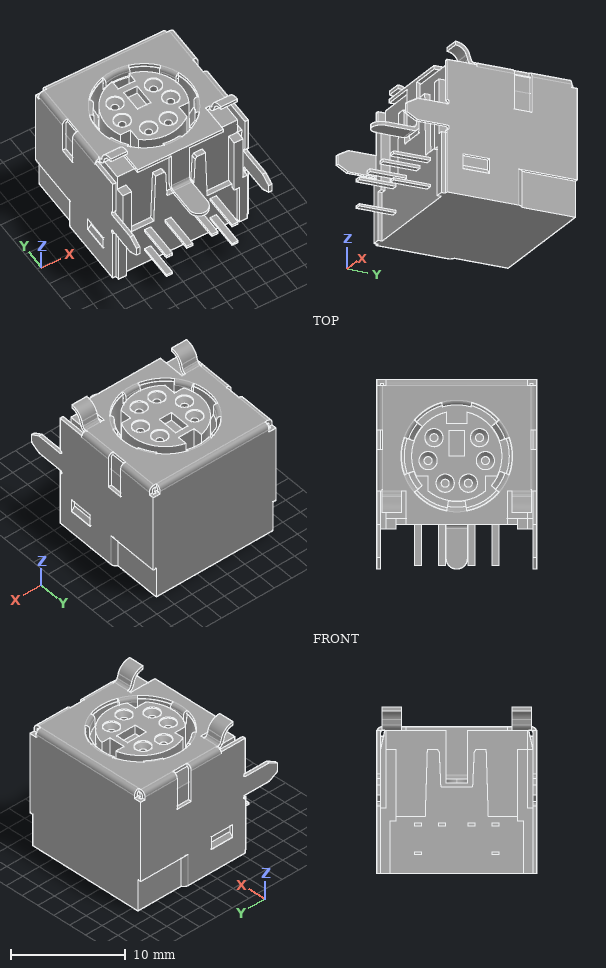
import cadquery as cq
import math


shell_width = 13.98
shell_depth = 12.67
shell_height = 12.83
sheet = 0.35
bend_outer = 0.53
bend_inner = bend_outer - sheet
half_width = shell_width / 2
inner_half_width = half_width - sheet
inner_depth = shell_depth - sheet
inner_height = shell_height - sheet
tip_reach = 3.89
overlap = 0.17

corner_opening_x = 4.42
corner_opening_depth = 2.91
hook_inner_x = 4.82
hook_width = 1.7
hook_center_y = 1.05
hook_center_z = 13.08
hook_radius = 1.45
hook_lean = math.radians(18)

tab_bottom = 6.3
tab_top = 8.31
tab_taper_length = 1.01
tab_taper_height = 0.56
relief_radius = 0.2

clip_window_y = (6.55, 8.25)
clip_window_bottom = 8.98
clip_window_inner_x = 6.46
snap_window_y = (1.55, 4.1)
snap_window_z = (2.48, 3.86)
snap_ramp_top = 2.93
snap_ramp_depth = 0.31
rear_corner_x = 6.2
rear_corner_bottom = 12.0
rear_step_y = 6.94
rear_step_top = 3.4

tongue_width = 1.89
tongue_top = 8.26
tongue_bend_inner = 0.33
tongue_tip_flat = 0.002
tongue_bend_outer = tongue_bend_inner + sheet

housing_face_y = 0.51
shoulder_top = 10.85
slope_top_x = 6.3
block_top = 5.0
column_foot_x = 2.75
column_top_x = 2.57
notch_top_x = 1.69
notch_neck_x = 1.52
notch_side_x = 1.39
notch_floor_x = 1.32
notch_floor = 7.53
notch_floor_bevel = 0.08
notch_top_bevel = 0.26
rib_front_y = -0.4
rib_inner_x = 5.28
rib_foot_x = 5.81
rib_foot_top = 4.57
side_groove_x = 6.2
side_groove_bottom = 5.73
side_groove_depth = 3.31
guide_lean = 0.17

socket_y = 5.98
mouth_radius = 4.87
housing_mouth_radius = 4.84
floor_radius = 4.59
core_radius = 3.94
socket_depth = 7.04
socket_floor = shell_height - socket_depth
key_width = 1.75
key_bottom_y = 8.83
flat_x = 2.5
flat_y = 4.22
post_width = 1.39
post_length = 2.24
post_center_y = 7.09
post_depth = 0.93
contact_places = [(1.99, 7.58), (2.5, 5.58), (1.01, 3.61)]
contact_mouth_radius = 0.8
contact_mouth_depth = 0.13
contact_hole_radius = 0.35
contact_cone_depth = 0.58
contact_hole_depth = 4.97

leaf_radius = 4.47
leaf_kink_z = 11.6
leaf_tip_radius = 3.97
leaf_tip_z = 10.6
side_leaf_angles = (30, 150, 210, 270, 330)
side_leaf_span = 21
rear_leaf_angle = 90
rear_leaf_span = 32
rear_leaf_kink_z = 11.89
rear_leaf_tip_radius = 4.87
rear_leaf_tip_z = 11.18

pin_width = 0.63
pin_tip_y = -3.58
upper_pin_z = 4.29
upper_pin_thickness = 0.26
upper_pin_x = (1.29, 3.38)
lower_pin_z = 1.79
lower_pin_thickness = 0.22
lower_pin_x = (3.38,)


def block(x_range, y_range, z_range):
    """Box between the given limits on each axis."""
    size = [end - start for start, end in (x_range, y_range, z_range)]
    corner = (x_range[0], y_range[0], z_range[0])
    return cq.Workplane("XY").box(*size, centered=False).translate(corner)


def both_sides(solid):
    """The solid together with its mirror image across X = 0."""
    return solid.union(solid.mirror("YZ"))


def extrude_along_x(outline, x_range):
    """Extrude a (Y, Z) outline from one X to another."""
    return outline.extrude(x_range[1] - x_range[0]).translate((x_range[0], 0, 0))


def folded_box(half_x, back_y, top_z, radius):
    """Box from Y = 0 back, with its top edges rounded along both sides and the rear."""
    box = block((-half_x, half_x), (0, back_y), (0, top_z))
    return box.faces(">Z").edges("|Y or >Y").fillet(radius)


def make_shell():
    shell = folded_box(half_width, shell_depth, shell_height, bend_outer)
    shell = shell.cut(folded_box(inner_half_width, inner_depth, inner_height, bend_inner))

    outside = half_width + overlap
    above = shell_height + overlap
    behind = shell_depth + overlap
    opening_y = (0, corner_opening_depth)
    bend_bottom = shell_height - bend_outer
    front_opening = block((corner_opening_x, outside), opening_y, (bend_bottom, above))
    straight_wall = block((inner_half_width, half_width), opening_y, (bend_bottom, inner_height))
    rear_corner = block(
        (rear_corner_x, outside), (inner_depth - bend_inner, behind), (rear_corner_bottom, above)
    )
    clip_window = block((clip_window_inner_x, outside), clip_window_y, (clip_window_bottom, above))
    snap_window = block((inner_half_width, outside), snap_window_y, snap_window_z)
    cuts = front_opening.union(rear_corner).union(clip_window).union(snap_window)
    shell = shell.cut(both_sides(cuts)).union(both_sides(straight_wall))
    return shell.cut(both_sides(rear_step())).cut(both_sides(tab_reliefs()))


def rear_step():
    """Low rear part of the side wall, bent inward out of the outer face."""
    bend_center_x = half_width - bend_outer
    bend_end_y = rear_step_y + math.sqrt(bend_outer**2 - bend_inner**2)
    mid_angle = (math.pi / 2 + math.asin(bend_inner / bend_outer)) / 2
    mid_x = bend_center_x + bend_outer * math.sin(mid_angle)
    mid_y = rear_step_y + bend_outer * math.cos(mid_angle)
    return (
        cq.Workplane("XY")
        .moveTo(half_width, rear_step_y)
        .threePointArc((mid_x, mid_y), (inner_half_width, bend_end_y))
        .lineTo(inner_half_width, shell_depth)
        .lineTo(half_width, shell_depth)
        .close()
        .extrude(rear_step_top)
    )


def make_hook():
    """Arm that rises from the top plate and curls forward."""
    inner_radius = hook_radius - sheet
    along_y = math.cos(hook_lean)
    along_z = math.sin(hook_lean)
    start_offset = (corner_opening_depth - hook_center_y) * along_y
    rise_offset = (inner_height - hook_center_z) * along_z
    low_outer = (start_offset + rise_offset - inner_radius) / (1 - along_z)
    low_inner = low_outer - sheet
    low_y = corner_opening_depth
    low_z = inner_height + low_outer

    def curl(radius, angle):
        return (hook_center_y + radius * math.cos(angle), hook_center_z + radius * math.sin(angle))

    def low_bend(radius, angle):
        return (low_y - radius * math.cos(angle), low_z - radius * math.sin(angle))

    upright = math.pi / 2
    middle = (hook_lean + upright) / 2
    outline = (
        cq.Workplane("YZ")
        .moveTo(low_y + overlap, shell_height)
        .lineTo(*low_bend(low_inner, upright))
        .threePointArc(low_bend(low_inner, middle), low_bend(low_inner, hook_lean))
        .lineTo(*curl(hook_radius, hook_lean))
        .threePointArc(curl(hook_radius, middle), curl(hook_radius, upright))
        .lineTo(*curl(inner_radius, upright))
        .threePointArc(curl(inner_radius, middle), curl(inner_radius, hook_lean))
        .lineTo(*low_bend(low_outer, hook_lean))
        .threePointArc(low_bend(low_outer, middle), low_bend(low_outer, upright))
        .lineTo(low_y + overlap, inner_height)
        .close()
    )
    return extrude_along_x(outline, (hook_inner_x, hook_inner_x + hook_width))


def make_mounting_tab():
    taper_start = tab_taper_length - tip_reach
    outline = cq.Workplane("YZ").polyline([
        (overlap, tab_bottom),
        (taper_start, tab_bottom),
        (-tip_reach, tab_bottom + tab_taper_height),
        (-tip_reach, tab_top - tab_taper_height),
        (taper_start, tab_top),
        (overlap, tab_top),
    ]).close()
    return extrude_along_x(outline, (inner_half_width, half_width))


def tab_reliefs():
    """Half-round notches in the wall edge above and below the mounting tab."""
    centers = [(0, tab_bottom - relief_radius), (0, tab_top + relief_radius)]
    outline = cq.Workplane("YZ").pushPoints(centers).circle(relief_radius)
    return extrude_along_x(outline, (inner_half_width, half_width))


def make_tongue():
    """Strip folded down from the top plate, then forward to a round tip."""
    half = tongue_width / 2
    bottom = tongue_top - sheet
    strip = (
        cq.Workplane("YZ")
        .moveTo(0, shell_height)
        .lineTo(0, tongue_top + tongue_bend_inner)
        .radiusArc((-tongue_bend_inner, tongue_top), tongue_bend_inner)
        .lineTo(-tip_reach, tongue_top)
        .lineTo(-tip_reach, bottom)
        .lineTo(-tongue_bend_inner, bottom)
        .radiusArc((sheet, bottom + tongue_bend_outer), -tongue_bend_outer)
        .lineTo(sheet, shell_height)
        .close()
    )
    strip = extrude_along_x(strip, (-half, half))
    return strip.edges("<Y and |Z").fillet((tongue_width - tongue_tip_flat) / 2)


def make_housing():
    body = (
        cq.Workplane("XZ")
        .polyline([
            (-inner_half_width, 0),
            (inner_half_width, 0),
            (inner_half_width, shoulder_top),
            (slope_top_x, inner_height),
            (-slope_top_x, inner_height),
            (-inner_half_width, shoulder_top),
        ])
        .close()
        .extrude(housing_face_y - inner_depth)
        .translate((0, housing_face_y, 0))
    )
    body = body.cut(block(
        (-half_width, half_width),
        (inner_depth - bend_inner, inner_depth),
        (rear_corner_bottom, shell_height),
    ))
    body = body.union(front_column()).union(both_sides(make_rib()))
    groove = block(
        (side_groove_x, inner_half_width),
        (rib_front_y, side_groove_depth),
        (side_groove_bottom, shell_height),
    )
    return body.cut(both_sides(groove)).union(guide_pillar()).union(both_sides(snap_ramp()))


def front_column():
    """Raised front: a low block and a tapered column notched for the tongue."""
    right_edge = [
        (rib_foot_x, 0),
        (rib_foot_x, rib_foot_top),
        (rib_inner_x, rib_foot_top),
        (rib_inner_x, block_top),
        (column_foot_x, block_top),
        (column_top_x, shoulder_top),
        (notch_top_x, shoulder_top),
        (notch_neck_x, shoulder_top - notch_top_bevel),
        (notch_side_x, notch_floor + notch_floor_bevel),
        (notch_floor_x, notch_floor),
    ]
    left_edge = [(-x, z) for x, z in reversed(right_edge)]
    outline = cq.Workplane("XZ").polyline(right_edge + left_edge).close()
    return outline.extrude(-housing_face_y)


def make_rib():
    y_range = (rib_front_y, housing_face_y)
    rib = block((rib_inner_x, inner_half_width), y_range, (rib_foot_top, shoulder_top))
    return rib.union(block((rib_foot_x, inner_half_width), y_range, (0, rib_foot_top)))


def guide_pillar():
    """Pillar filling the right-hand groove, its front leaning back toward the bottom."""
    outline = cq.Workplane("YZ").polyline([
        (housing_face_y, shoulder_top),
        (side_groove_depth, shoulder_top),
        (side_groove_depth, side_groove_bottom),
        (housing_face_y + guide_lean, side_groove_bottom),
    ]).close()
    return extrude_along_x(outline, (side_groove_x, inner_half_width))


def snap_ramp():
    """Wedge on the housing side that catches the lower edge of the snap window."""
    bottom = snap_window_z[0]
    outline = cq.Workplane("XZ").polyline([
        (inner_half_width, bottom),
        (inner_half_width + snap_ramp_depth, bottom),
        (inner_half_width, snap_ramp_top),
    ]).close()
    ramp = outline.extrude(snap_window_y[0] - snap_window_y[1])
    return ramp.translate((0, snap_window_y[0], 0))


def socket_cavity():
    """Ring-shaped cavity around the core, with the core's key cut-outs."""
    cavity = (
        cq.Workplane("XY", origin=(0, socket_y, socket_floor))
        .circle(floor_radius)
        .workplane(offset=inner_height - socket_floor)
        .circle(housing_mouth_radius)
        .loft()
    )
    rim = cq.Workplane("XY", origin=(0, socket_y, inner_height)).circle(mouth_radius).extrude(sheet)
    core = cq.Workplane("XY", origin=(0, socket_y, socket_floor)).circle(core_radius)
    core = core.extrude(socket_depth)
    z_range = (socket_floor, shell_height)
    back = socket_y + core_radius
    front = socket_y - core_radius
    core = core.cut(block((-key_width / 2, key_width / 2), (key_bottom_y, back), z_range))
    core = core.cut(both_sides(block((flat_x, core_radius), (front, flat_y), z_range)))
    return cavity.union(rim).cut(core)


def post_pocket():
    """Rectangular pocket in the middle of the core."""
    return block(
        (-post_width / 2, post_width / 2),
        (post_center_y - post_length / 2, post_center_y + post_length / 2),
        (shell_height - post_depth, shell_height),
    )


def contact_hole(x, y):
    """Short round mouth, a funnel, and the contact bore below it."""
    return (
        cq.Workplane("XZ")
        .polyline([
            (0, 0),
            (contact_mouth_radius, 0),
            (contact_mouth_radius, -contact_mouth_depth),
            (contact_hole_radius, -contact_cone_depth),
            (contact_hole_radius, -contact_hole_depth),
            (0, -contact_hole_depth),
        ])
        .close()
        .revolve(360, (0, 0), (0, 1))
        .translate((x, y, shell_height))
    )


def make_leaf(kink_z, tip_radius, tip_z, angle, span):
    """Leaf bent down from the socket rim, straight to the kink, then slanting to its tip."""
    bend = mouth_radius - leaf_radius
    root = mouth_radius + overlap
    profile = (
        cq.Workplane("XZ")
        .moveTo(root, shell_height)
        .lineTo(mouth_radius, shell_height)
        .radiusArc((leaf_radius, shell_height - bend), -bend)
        .lineTo(leaf_radius, kink_z)
        .lineTo(tip_radius, tip_z)
        .lineTo(tip_radius + sheet, tip_z)
        .lineTo(leaf_radius + sheet, kink_z)
        .lineTo(leaf_radius + sheet, inner_height)
        .lineTo(root, inner_height)
        .close()
    )
    leaf = profile.revolve(span, (0, 0), (0, 1))
    middle = leaf.val().Center()
    turn = angle - math.degrees(math.atan2(middle.y, middle.x))
    return leaf.rotate((0, 0, 0), (0, 0, 1), turn).translate((0, socket_y, 0))


def make_leaves():
    leaves = make_leaf(
        rear_leaf_kink_z, rear_leaf_tip_radius, rear_leaf_tip_z, rear_leaf_angle, rear_leaf_span
    )
    for angle in side_leaf_angles:
        leaf = make_leaf(leaf_kink_z, leaf_tip_radius, leaf_tip_z, angle, side_leaf_span)
        leaves = leaves.union(leaf)
    return leaves


def pin_row(places_x, middle_z, thickness):
    row = cq.Workplane("XY")
    for x in places_x:
        row = row.union(both_sides(block(
            (x - pin_width / 2, x + pin_width / 2),
            (pin_tip_y, housing_face_y),
            (middle_z - thickness / 2, middle_z + thickness / 2),
        )))
    return row


result = make_shell().union(make_housing())
result = result.union(both_sides(make_mounting_tab())).union(both_sides(make_hook()))
result = result.union(make_tongue())

result = result.cut(socket_cavity())
for contact_x, contact_y in contact_places:
    result = result.cut(both_sides(contact_hole(contact_x, contact_y)))
result = result.cut(post_pocket())
result = result.union(make_leaves())

result = result.union(pin_row(upper_pin_x, upper_pin_z, upper_pin_thickness))
result = result.union(pin_row(lower_pin_x, lower_pin_z, lower_pin_thickness))